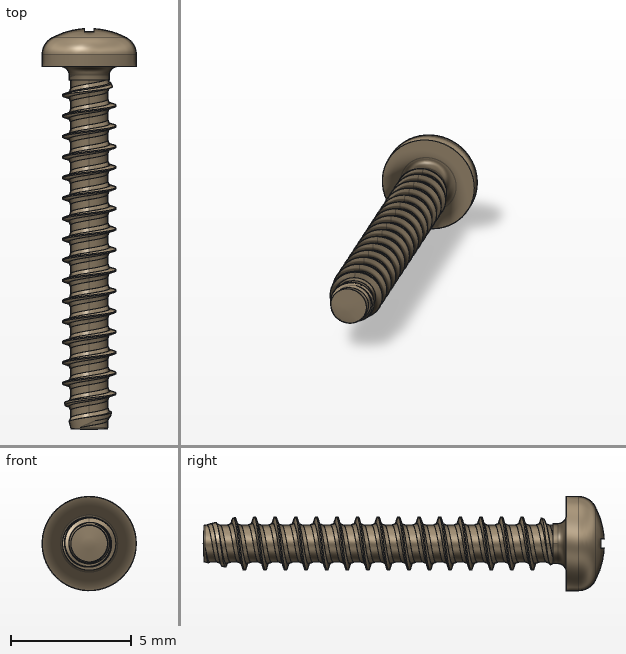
import cadquery as cq
import math


head_diameter = 3.9
head_height = 1.582
rim_height = 0.5
crown_edge_radius = 1.5
crown_edge_height = 1.21

shank_length = 15.0
neck_diameter = 1.66
neck_end = 0.55
neck_fillet = 0.35
core_diameter = 1.54
tip_diameter = 1.51
tip_point_height = 0.03

thread_diameter = 2.2
thread_pitch = 0.85
thread_phase = 0.975
thread_root_width = 0.54
thread_shoulder_width = 0.2
thread_shoulder_height = 0.07
thread_crest_width = 0.05
fade_in_length = 0.55
fade_out_start = 13.6

wing_width = 0.38
wing_span = 2.05
wing_floor_span = 0.7
recess_depth = 0.9

clearance = 0.2

head_radius = head_diameter / 2
neck_radius = neck_diameter / 2
core_radius = core_diameter / 2
tip_radius = tip_diameter / 2
thread_radius = thread_diameter / 2
outside_radius = thread_radius + clearance

rod_start = thread_phase - thread_pitch
rod_turns = math.ceil((shank_length - rod_start) / thread_pitch) + 1
rod_end = rod_start + rod_turns * thread_pitch


def revolve_about_axis(profile):
    """Revolve a closed half-profile in the XY plane about the screw axis."""
    return profile.revolve(360, (0, 0, 0), (0, 1, 0))


def make_crown_midpoint():
    """Midpoint of the spherical crown arc between the axis and its edge."""
    crown_rise = head_height - crown_edge_height
    sphere_radius = (crown_edge_radius**2 + crown_rise**2) / (2 * crown_rise)
    half_angle = math.asin(crown_edge_radius / sphere_radius) / 2
    radius = sphere_radius * math.sin(half_angle)
    height = head_height - sphere_radius * (1 - math.cos(half_angle))
    return radius, height


def make_head_and_neck():
    """Pan head with the filleted neck below it."""
    fillet_middle = neck_fillet * (1 - math.sqrt(0.5))
    profile = (
        cq.Workplane("XY")
        .moveTo(0, -neck_end)
        .lineTo(neck_radius, -neck_end)
        .lineTo(neck_radius, -neck_fillet)
        .threePointArc(
            (neck_radius + fillet_middle, -fillet_middle),
            (neck_radius + neck_fillet, 0),
        )
        .lineTo(head_radius, 0)
        .lineTo(head_radius, rim_height)
        .tangentArcPoint((crown_edge_radius, crown_edge_height), relative=False)
        .threePointArc(make_crown_midpoint(), (0, head_height))
        .close()
    )
    return revolve_about_axis(profile)


def make_turn_section():
    """(radius, height) corners of one turn: the ridge, then bare core up to the next turn."""
    lower_flank = [
        (core_radius, -thread_root_width / 2),
        (core_radius + thread_shoulder_height, -thread_shoulder_width / 2),
        (thread_radius, -thread_crest_width / 2),
    ]
    upper_flank = [(radius, -height) for radius, height in reversed(lower_flank)]
    next_turn = (core_radius, thread_pitch - thread_root_width / 2)
    return lower_flank + upper_flank + [next_turn]


def make_helix_turn(radius, height):
    """One right-handed turn about Z, starting at the given height on +X."""
    wire = cq.Wire.makeHelix(thread_pitch, thread_pitch, radius, center=cq.Vector(0, 0, height))
    return wire.Edges()[0]


def make_rod_cap(section, height):
    """Helical ramp and the flat step beside it that close one end of the rod."""
    bottom = height + section[0][1]
    axis_bottom = cq.Vector(0, 0, bottom)
    axis_top = cq.Vector(0, 0, bottom + thread_pitch)
    axis = cq.Edge.makeLine(axis_bottom, axis_top)
    ramp = cq.Face.makeRuledSurface(axis, make_helix_turn(core_radius, bottom))
    corners = [cq.Vector(radius, 0, height + offset) for radius, offset in section]
    outline = cq.Wire.makePolygon([axis_bottom] + corners + [axis_top], close=True)
    return [ramp, cq.Face.makeFromWires(outline)]


def make_threaded_rod():
    """Core and thread ridge in one solid, skinned with ruled helical faces."""
    section = make_turn_section()
    faces = make_rod_cap(section, 0) + make_rod_cap(section, rod_turns * thread_pitch)
    for turn in range(rod_turns):
        height = turn * thread_pitch
        edges = [make_helix_turn(radius, height + offset) for radius, offset in section]
        for lower, upper in zip(edges, edges[1:]):
            faces.append(cq.Face.makeRuledSurface(lower, upper))
    rod = cq.Workplane(cq.Solid.makeSolid(cq.Shell.makeShell(faces)))
    rod = rod.rotate((0, 0, 0), (1, 0, 0), -90)
    rod = rod.rotate((0, 0, 0), (0, 1, 0), -90)
    return rod.translate((0, -rod_end, 0))


def make_fade_in_cutter():
    """Ring around the neck whose conical mouth lets the crest rise from the neck."""
    full_height = -neck_end - fade_in_length
    above_rod = thread_pitch + clearance
    ring = cq.Workplane("XY").polyline(
        [
            (neck_radius, above_rod),
            (neck_radius, -neck_end),
            (thread_radius, full_height),
            (outside_radius, full_height),
            (outside_radius, above_rod),
        ]
    )
    return revolve_about_axis(ring.close())


def make_tip_cutter():
    """Trims the rod to length, with a slightly pointed tip and a tapering crest."""
    below_rod = -rod_end - thread_pitch
    cup = cq.Workplane("XY").polyline(
        [
            (0, -shank_length),
            (tip_radius, -shank_length + tip_point_height),
            (thread_radius, -fade_out_start),
            (outside_radius, -fade_out_start),
            (outside_radius, below_rod),
            (0, below_rod),
        ]
    )
    return revolve_about_axis(cup.close())


def make_recess_wing():
    """One slot of the cross recess, spanning X and tapering towards its floor."""
    floor = head_height - recess_depth
    return (
        cq.Workplane("XY")
        .moveTo(-wing_floor_span / 2, floor)
        .lineTo(wing_floor_span / 2, floor)
        .lineTo(wing_span / 2, head_height)
        .lineTo(-wing_span / 2, head_height)
        .close()
        .extrude(wing_width / 2, both=True)
    )


def make_recess():
    """Cross recess made of two crossed slots."""
    wing = make_recess_wing()
    crossed_wing = wing.rotate((0, 0, 0), (0, 1, 0), 90)
    return wing.union(crossed_wing)


shank = make_threaded_rod().cut(make_fade_in_cutter(), clean=False).cut(make_tip_cutter(), clean=False)
screw = make_head_and_neck().union(shank, clean=False)
result = screw.cut(make_recess(), clean=False)